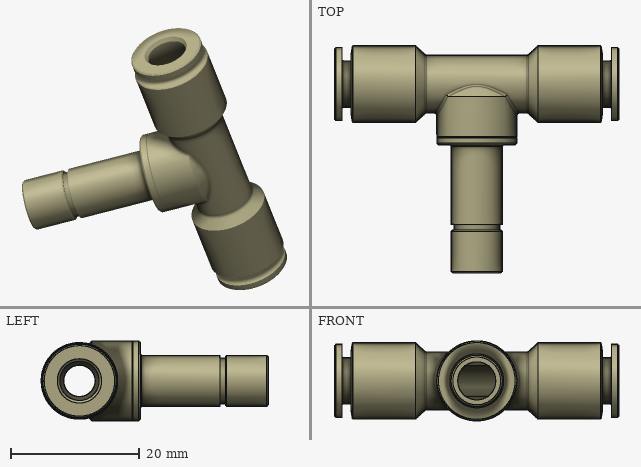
import cadquery as cq

run_half_length = 22.2
body_radius = 6.0
tube_radius = 4.55

flange_radius = 5.73
flange_thickness = 1.15
flange_chamfer = 0.2
neck_radius = 3.65
lip_radius = 4.55
lip_start = 2.55
body_start = 2.75
body_chamfer = 0.15
cone_start = 12.6
cone_length = 1.6
tube_start = 14.65
neck_fillet = 0.18
cone_fillet = 0.35
run_bore_radius = 2.45
socket_radius = 3.05
socket_depth = 10.65
socket_lead_radius = 3.45
socket_lead_length = 0.6

collar_radius = 6.25
collar_end = 9.5
collar_chamfer = 0.25
collar_seam = 8.3
seam_depth = 0.1
collar_blend = 0.45
cone_top_radius = 4.3

stem_radius = 4.0
stem_end = 35.5 - body_radius
stem_chamfer = 0.25
root_step = 0.2
groove_radius = 3.6
groove_start = 21.95
groove_end = 22.8
groove_chamfer = 0.18
stem_bore_radius = 2.97


def revolve_about_x(points):
    """Turn an (x, radius) outline about the run axis."""
    return cq.Workplane("XY").polyline(points).close().revolve(360, (0, 0, 0), (1, 0, 0))


def revolve_about_y(points):
    """Turn a (radius, distance toward -Y) outline about the branch axis."""
    outline = [(radius, -distance) for radius, distance in points]
    return cq.Workplane("XY").polyline(outline).close().revolve(360, (0, 0, 0), (0, 1, 0))


def ring_edge(distance, radius):
    """Selector for the circle of this radius, at this distance from the -X end."""
    x = distance - run_half_length
    margin = 0.05
    reach = radius + margin
    return cq.selectors.BoxSelector(
        (x - margin, -reach, -reach), (x + margin, reach, reach), boundingbox=True
    )


def push_in_end():
    """Body and release flange at the -X end of the run."""
    profile = [
        (0, 0),
        (0, flange_radius - flange_chamfer),
        (flange_chamfer, flange_radius),
        (flange_thickness, flange_radius),
        (flange_thickness, neck_radius),
        (lip_start, neck_radius),
        (lip_start, lip_radius),
        (body_start, body_radius - body_chamfer),
        (body_start + body_chamfer, body_radius),
        (cone_start, body_radius),
        (cone_start + cone_length, tube_radius),
        (tube_start, tube_radius),
        (tube_start, 0),
    ]
    body = revolve_about_x([(x - run_half_length, radius) for x, radius in profile])
    neck_root = ring_edge(flange_thickness, neck_radius)
    cone_root = ring_edge(cone_start + cone_length, tube_radius)
    return body.edges(neck_root).fillet(neck_fillet).edges(cone_root).fillet(cone_fillet)


def run_socket():
    """Tube socket with a tapered mouth and a 45 degree floor, cut from the -X end."""
    floor_taper = socket_radius - run_bore_radius
    profile = [
        (0, 0),
        (0, socket_lead_radius),
        (socket_lead_length, socket_radius),
        (socket_depth, socket_radius),
        (socket_depth + floor_taper, run_bore_radius),
        (socket_depth + floor_taper, 0),
    ]
    return revolve_about_x([(x - run_half_length, radius) for x, radius in profile])


def collar():
    """Branch collar whose coned top settles onto the run tube."""
    cone_end = collar_radius - cone_top_radius
    return revolve_about_y([
        (0, 0),
        (cone_top_radius, 0),
        (collar_radius, cone_end),
        (collar_radius, collar_end),
        (0, collar_end),
    ])


def collar_seam_groove():
    """Fine V groove around the collar."""
    return revolve_about_y([
        (collar_radius, collar_seam - seam_depth),
        (collar_radius - seam_depth, collar_seam),
        (collar_radius, collar_seam + seam_depth),
    ])


def stem():
    """Plug-in stem with its coned root, retaining groove and chamfered tip."""
    return revolve_about_y([
        (0, collar_end),
        (stem_radius + root_step, collar_end),
        (stem_radius, collar_end + root_step),
        (stem_radius, groove_start),
        (groove_radius, groove_start),
        (groove_radius, groove_end),
        (stem_radius - groove_chamfer, groove_end),
        (stem_radius, groove_end + groove_chamfer),
        (stem_radius, stem_end - stem_chamfer),
        (stem_radius - stem_chamfer, stem_end),
        (0, stem_end),
    ])


tube_half_length = run_half_length - tube_start
tube = cq.Workplane("YZ").circle(tube_radius).extrude(tube_half_length, both=True)
junction = tube.union(collar())
junction = junction.edges("%BSPLINE").fillet(collar_blend)
junction = junction.faces("<Y").edges().chamfer(collar_chamfer)

left_end = push_in_end()
result = junction.union(stem()).cut(collar_seam_groove())
result = result.union(left_end).union(left_end.mirror("YZ"))

run_bore = cq.Workplane("YZ").circle(run_bore_radius).extrude(run_half_length, both=True)
stem_bore = cq.Workplane("XZ").circle(stem_bore_radius).extrude(stem_end)
left_socket = run_socket()
result = result.cut(run_bore).cut(stem_bore)
result = result.cut(left_socket).cut(left_socket.mirror("YZ"))